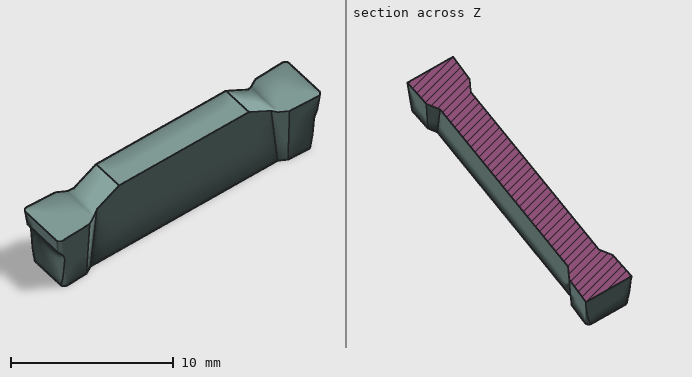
import cadquery as cq
import math

length = 20.53
width = 3.61
height = 5.78

web_half_width = 1.15
ridge_half_length = 5.06
ramp_angle = math.radians(30)

rake_height = 4.58
head_length = 2.48
nose_radius = 0.3
side_relief = math.radians(2.5)
side_clearance = math.radians(3)
front_clearance = math.radians(7)
neck_angle = math.radians(30)
ramp_fillet = 0.2

relief_bottom = 0.14
cove_bottom = 2.54
cove_radius = 1.1

half_length = length / 2
relief_y = half_length - (rake_height - relief_bottom) * math.tan(front_clearance)
ramp_foot_y = ridge_half_length + (height - rake_height) / math.tan(ramp_angle)

relief_slope = math.tan(side_relief)
corner_half_width = width / 2 + nose_radius * (relief_slope + 1 / math.cos(side_relief) - 1)


def head_outline(z):
    """Sharp-cornered plan of the +Y head at height z, narrowing towards the base."""
    drop = rake_height - z
    front_y = half_length - drop * math.tan(front_clearance)
    inset = drop * math.tan(side_clearance)
    back_y = half_length - head_length + inset * math.tan(neck_angle / 2)
    front_x = corner_half_width - inset - (half_length - front_y) * relief_slope
    back_x = corner_half_width - inset - (half_length - back_y) * relief_slope
    neck_y = back_y - (back_x - web_half_width) / math.tan(neck_angle)
    right = [
        (web_half_width, ridge_half_length),
        (web_half_width, neck_y),
        (back_x, back_y),
        (front_x, front_y),
    ]
    left = [(-x, y) for x, y in reversed(right)]
    return right + left


def make_head():
    """Drafted head at the +Y end, with rounded nose corners."""
    head = (
        cq.Workplane("XY")
        .polyline(head_outline(0)).close()
        .workplane(offset=height)
        .polyline(head_outline(height)).close()
        .loft(ruled=True, combine=True)
    )
    nose_edges = cq.selectors.BoxSelector(
        (-width, relief_y - nose_radius, height / 4),
        (width, half_length + nose_radius, height * 3 / 4),
    )
    return head.edges(nose_edges).fillet(nose_radius)


def make_web():
    """Straight bar joining the two heads."""
    web_length = 2 * (half_length - head_length)
    return cq.Workplane("XY").box(2 * web_half_width, web_length, height, centered=(True, True, False))


def make_half_profile():
    """Side profile of the +Y half: ridge, ramp, rake face, cove and upright relief."""
    cove_center_y = relief_y + cove_radius
    cove_diagonal = cove_radius * math.sqrt(0.5)
    profile = (
        cq.Workplane("YZ", origin=(-width, 0, 0))
        .moveTo(0, 0)
        .lineTo(relief_y, 0)
        .lineTo(relief_y, cove_bottom)
        .threePointArc(
            (cove_center_y - cove_diagonal, cove_bottom + cove_diagonal),
            (cove_center_y, cove_bottom + cove_radius),
        )
        .lineTo(cove_center_y, rake_height)
        .lineTo(ramp_foot_y, rake_height)
        .lineTo(ridge_half_length, height)
        .lineTo(0, height)
        .close()
        .extrude(2 * width)
    )
    foot_edge = cq.selectors.NearestToPointSelector((0, ramp_foot_y, rake_height))
    return profile.edges(foot_edge).fillet(ramp_fillet)


def both_ends(half):
    """Join a +Y half with its mirror image."""
    return half.union(half.mirror("XZ"))


blank = make_web().union(both_ends(make_head()))
result = blank.intersect(both_ends(make_half_profile())).clean()